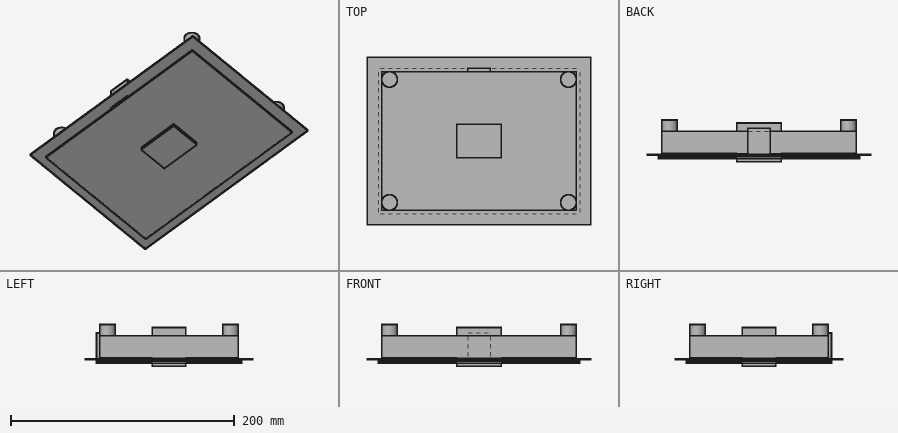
import cadquery as cq

flange_length = 200.0
flange_width = 150.0
flange_thickness = 1.0

lower_plate_length = 180.0
lower_plate_width = 130.0
lower_plate_thickness = 1.5
plate_gap = 1.5

stud_diameter = 14.0
stud_height = 10.0
stud_spacing_x = 160.0
stud_spacing_y = 110.0

body_length = stud_spacing_x + stud_diameter
body_width = stud_spacing_y + stud_diameter
body_height = 20.0
body_clearance = 0.5
body_corner_radius = 1.0

core_length = 40.0
core_width = 30.0
core_drop = 3.0
core_rise = 7.5

tab_length = 20.0
tab_thickness = (lower_plate_width - body_width) / 2
tab_height = 25.0
tab_clearance = 0.5

lower_plate_bottom = core_drop
lower_plate_top = lower_plate_bottom + lower_plate_thickness
flange_bottom = lower_plate_top + plate_gap
flange_top = flange_bottom + flange_thickness
body_bottom = flange_top + body_clearance
body_top = body_bottom + body_height
tab_bottom = lower_plate_top + tab_clearance


def block(length, width, bottom, top, center_y=0.0):
    """Box between two levels, centred on X = 0 and on center_y."""
    return (
        cq.Workplane("XY", origin=(0, center_y, bottom))
        .rect(length, width)
        .extrude(top - bottom)
    )


def plates():
    """Lower plate and flange, separated by the gap."""
    lower_plate = block(lower_plate_length, lower_plate_width, lower_plate_bottom, lower_plate_top)
    flange = block(flange_length, flange_width, flange_bottom, flange_top)
    return lower_plate.union(flange)


def body():
    """Rectangular body with rounded vertical edges."""
    return block(body_length, body_width, body_bottom, body_top).edges("|Z").fillet(body_corner_radius)


def core():
    """Central core that joins the plates and the body and stands proud at both ends."""
    return block(core_length, core_width, 0.0, body_top + core_rise)


def tab():
    """Tab flush with the +Y edge of the lower plate."""
    center_y = (lower_plate_width - tab_thickness) / 2
    return block(tab_length, tab_thickness, tab_bottom, tab_bottom + tab_height, center_y)


def studs():
    """Four round studs at the corners of the body."""
    return (
        cq.Workplane("XY", origin=(0, 0, body_top))
        .rect(stud_spacing_x, stud_spacing_y, forConstruction=True)
        .vertices()
        .circle(stud_diameter / 2)
        .extrude(stud_height)
    )


result = plates().union(core()).union(body()).union(tab()).union(studs())